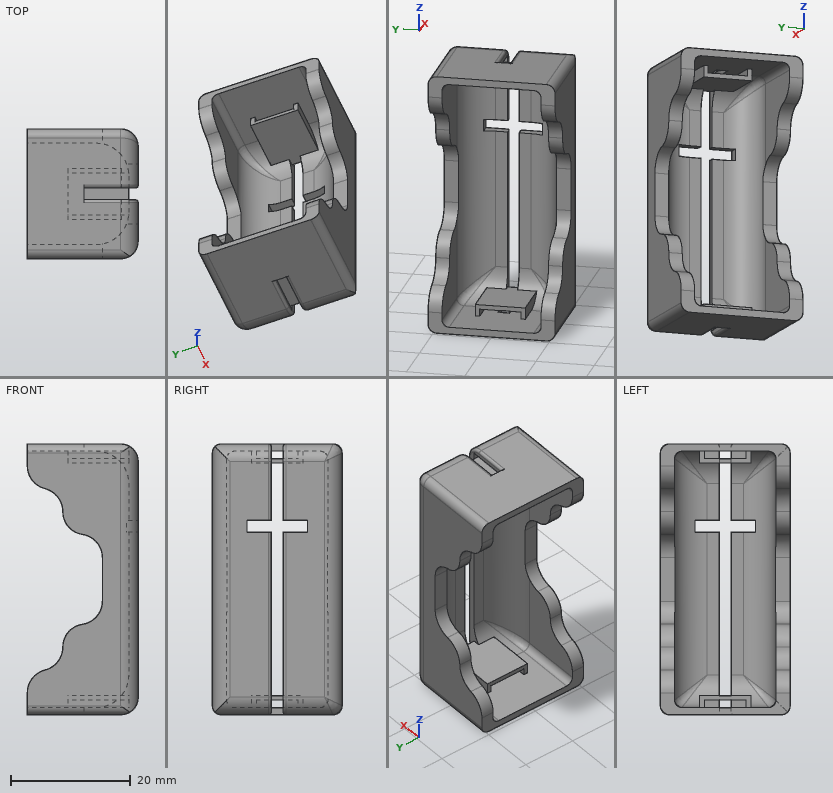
import cadquery as cq

depth = 18.6
width = 21.8
height = 45.4

side_wall = 2.4
end_wall = 1.23
back_wall = 1.6
outer_corner_radius = 1.5
outer_back_radius = 2.95
inner_corner_radius = 1.23
inner_back_radius = 5.45

lip_height = 3.7
wave_height = 7.65
first_step_x = 5.95
waist_x = 12.58

slot_width = 1.95
slot_front = 9.5
slot_edge_radius = 0.5

cross_width = 10.1
cross_height = 2.0
cross_z = 8.9

bridge_front = 6.8
bridge_width = 8.6
bridge_height = 2.0
bridge_thickness = 0.75

inner_depth = depth - back_wall
inner_width = width - 2 * side_wall
inner_height = height - 2 * end_wall


def block(x_start, x_end, y_size, z_size, z_center=0.0):
    """Box from x_start to x_end, centred on Y and on z_center."""
    box = cq.Workplane("XY").box(x_end - x_start, y_size, z_size, centered=(False, True, True))
    return box.translate((x_start, 0, z_center))


def back_rounded_block(x_end, y_size, z_size, back_radius):
    """Box starting at X = 0 whose four edges around the +X face are rounded."""
    return block(0, x_end, y_size, z_size).faces(">X").edges().fillet(back_radius)


def outer_body():
    """Outer block; the +Y corners blend smoothly, the -Y corners meet in mitres."""
    body = back_rounded_block(depth, width, height, outer_back_radius)
    body = body.edges("|X and >Y").fillet(outer_corner_radius)
    mitre = block(0, depth, width, height).edges("|X and <Y").fillet(outer_corner_radius)
    return body.intersect(mitre)


def cavity():
    body = back_rounded_block(inner_depth, inner_width, inner_height, inner_back_radius)
    return body.edges("|X").fillet(inner_corner_radius)


def wave_cut():
    """Prism removing the space in front of the wavy side wall edges."""
    lip_z = height / 2 - lip_height
    step_z = lip_z - wave_height
    waist_z = step_z - wave_height
    first_middle = (first_step_x / 2, (lip_z + step_z) / 2)
    second_middle = ((first_step_x + waist_x) / 2, (step_z + waist_z) / 2)
    half = (
        cq.Workplane("XZ")
        .moveTo(0, 0)
        .lineTo(waist_x, 0)
        .lineTo(waist_x, waist_z)
        .tangentArcPoint(second_middle, relative=False)
        .tangentArcPoint((first_step_x, step_z), relative=False)
        .tangentArcPoint(first_middle, relative=False)
        .tangentArcPoint((0, lip_z), relative=False)
        .close()
        .extrude(width / 2, both=True)
    )
    return half.union(half.mirror("XY"))


def slotted(body):
    """Cut the strap slot, round its outer edges all the way along, then cut the cross slot."""
    body = body.cut(block(slot_front, depth, slot_width, height))
    reach = slot_width
    upper_edges = cq.selectors.BoxSelector(
        (slot_front, -reach, height / 2 - end_wall / 2),
        (depth, reach, height / 2 + end_wall / 2),
    )
    body = body.edges("|X").edges(upper_edges).fillet(slot_edge_radius)
    return body.cut(block(waist_x, depth, cross_width, cross_height, cross_z))


def with_bridge(body, side):
    """Add the strap bridge on the upper (side = 1) or lower (side = -1) end wall."""
    wall_z = inner_height / 2
    tunnel_width = bridge_width - 2 * bridge_thickness
    tunnel_height = bridge_height - bridge_thickness
    bridge_z = side * (wall_z - bridge_height / 2)
    tunnel_z = side * (wall_z - tunnel_height / 2)
    bridge = block(bridge_front, inner_depth, bridge_width, bridge_height, bridge_z)
    tunnel = block(bridge_front, inner_depth, tunnel_width, tunnel_height, tunnel_z)
    return body.union(bridge).cut(tunnel)


result = slotted(outer_body().cut(cavity()).cut(wave_cut()))
for side in (1, -1):
    result = with_bridge(result, side)